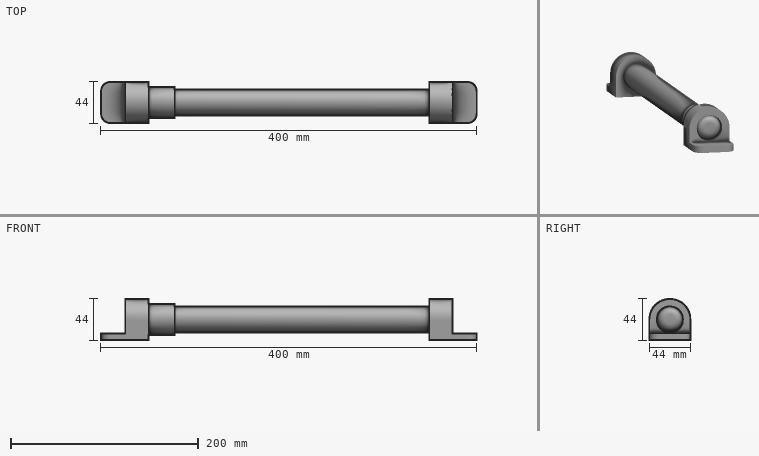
import cadquery as cq

length = 400.0
width = 44.0
foot_length = 25.5
block_length = 25.0
foot_thickness = 7.0
corner_radius = 10.0

axis_height = width / 2
rod_diameter = 28.0
rod_tip_diameter = 12.0
rod_end_rounding = (rod_diameter - rod_tip_diameter) / 2
sleeve_diameter = 33.0
sleeve_length = 27.5

block_outer_x = length / 2 - foot_length
block_inner_x = block_outer_x - block_length
rod_length = 2 * block_outer_x


def cylinder_along_x(start_x, cylinder_length, diameter):
    plane = cq.Workplane("YZ", origin=(start_x, 0, axis_height))
    return plane.circle(diameter / 2).extrude(cylinder_length)


def make_right_bracket():
    """Round-topped bearing block on a foot pointing toward +X, bored for the rod."""
    block = (
        cq.Workplane("YZ", origin=(block_inner_x, 0, 0))
        .moveTo(-width / 2, 0)
        .lineTo(width / 2, 0)
        .lineTo(width / 2, axis_height)
        .threePointArc((0, axis_height + width / 2), (-width / 2, axis_height))
        .close()
        .extrude(block_length)
    )
    foot = (
        cq.Workplane("XY", origin=(block_inner_x, 0, 0))
        .rect(block_length + foot_length, width)
        .extrude(foot_thickness)
        .translate(((block_length + foot_length) / 2, 0, 0))
        .edges("|Z and >X")
        .fillet(corner_radius)
    )
    bore = cylinder_along_x(block_inner_x, block_length, rod_diameter)
    return block.union(foot).cut(bore)


right_bracket = make_right_bracket()
left_bracket = right_bracket.mirror("YZ")

rod = cylinder_along_x(-rod_length / 2, rod_length, rod_diameter)
rod = rod.faces("<X or >X").edges().fillet(rod_end_rounding)

sleeve = cylinder_along_x(-block_inner_x, sleeve_length, sleeve_diameter)

result = right_bracket.union(left_bracket).union(sleeve).union(rod)